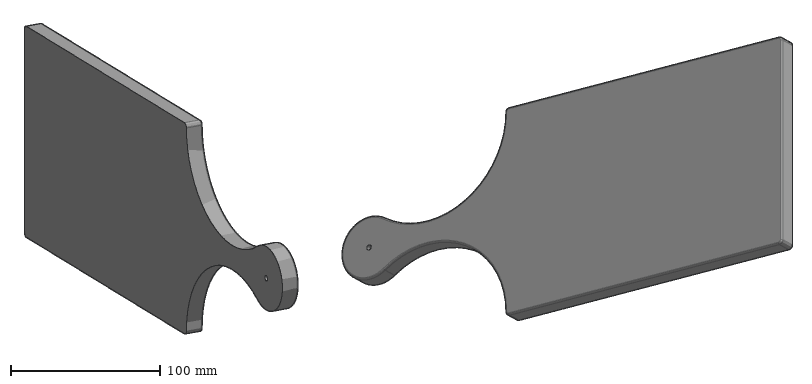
import cadquery as cq
import math

total_length = 358.0
board_length = 225.0
board_height = 150.0
thickness = 12.5
corner_radius = 3.0
head_radius = 22.5
hole_diameter = 3.5
back_edge_radius = 1.25

half_height = board_height / 2
handle_length = total_length - board_length
head_x = total_length - head_radius
head_offset = head_x - board_length
scoop_z = half_height - corner_radius
scoop_radius = (head_offset**2 + scoop_z**2 - head_radius**2) / (2 * handle_length)
scoop_x = board_length + scoop_radius

center_distance = scoop_radius + head_radius
tangent_x = head_x + (scoop_x - head_x) * head_radius / center_distance
tangent_z = scoop_z * head_radius / center_distance

diagonal = math.sqrt(0.5)
scoop_mid = (scoop_x - scoop_radius * diagonal, scoop_z - scoop_radius * diagonal)
corner_inset = corner_radius * (1 - diagonal)
corner_near = corner_inset
corner_far = board_length - corner_inset
corner_mid_z = half_height - corner_inset


def make_board():
    """Full board outline, symmetric about Z = 0, with its thickness centred on Y = 0."""
    outline = (
        cq.Workplane("XZ")
        .moveTo(0, -scoop_z)
        .lineTo(0, scoop_z)
        .threePointArc((corner_near, corner_mid_z), (corner_radius, half_height))
        .lineTo(board_length - corner_radius, half_height)
        .threePointArc((corner_far, corner_mid_z), (board_length, scoop_z))
        .threePointArc(scoop_mid, (tangent_x, tangent_z))
        .threePointArc((total_length, 0), (tangent_x, -tangent_z))
        .threePointArc((scoop_mid[0], -scoop_mid[1]), (board_length, -scoop_z))
        .threePointArc((corner_far, -corner_mid_z), (board_length - corner_radius, -half_height))
        .lineTo(corner_radius, -half_height)
        .threePointArc((corner_near, -corner_mid_z), (0, -scoop_z))
        .close()
    )
    return outline.extrude(thickness / 2, both=True)


def make_hanging_hole():
    """Through hole at the centre of the round head."""
    return (
        cq.Workplane("XZ")
        .center(head_x, 0)
        .circle(hole_diameter / 2)
        .extrude(thickness, both=True)
    )


board = make_board().faces(">Y").edges().fillet(back_edge_radius)
result = board.cut(make_hanging_hole())